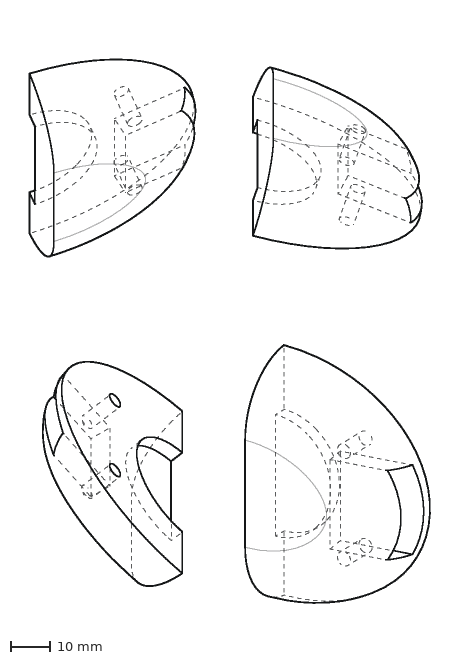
import cadquery as cq
import math

height = 69.8
reach = 44.9
thickness = 18.0
rounding = 20.0

recess_radius = 16.95
recess_depth = 4.0

hole_diameter = 4.0
hole_depth = 10.0
hole_y = 25.0
hole_spacing = 30.0
drill_point_angle = 118.0

slot_width = 6.0
slot_length = 25.0
slot_x = 5.85
slot_y = 41.25
slot_bottom = 20.0
slot_clearance = 10.5
slot_tilt = 8.0


def make_body():
    tangent_depth = rounding - thickness
    inset = rounding - math.sqrt(rounding**2 - tangent_depth**2)
    blank_depth = 2 * tangent_depth
    blank = (
        cq.Workplane("YZ", origin=(-blank_depth, 0, 0))
        .ellipse(reach + inset, height / 2 + inset)
        .extrude(blank_depth + thickness)
        .faces(">X")
        .edges()
        .fillet(rounding)
    )
    kept_half = cq.Workplane("XY").box(thickness, 2 * reach, 2 * height, centered=(False, False, True))
    return blank.intersect(kept_half)


def make_recess():
    return cq.Workplane("YZ").circle(recess_radius).extrude(recess_depth)


def make_hole(z):
    radius = hole_diameter / 2
    point_depth = radius / math.tan(math.radians(drill_point_angle / 2))
    return (
        cq.Workplane("XY", origin=(0, hole_y, z))
        .polyline([(0, 0), (0, radius), (hole_depth, radius), (hole_depth + point_depth, 0)])
        .close()
        .revolve(360, (0, 0, 0), (1, 0, 0))
    )


def make_slot():
    slot_center = (slot_clearance - slot_bottom) / 2
    return (
        cq.Workplane("XY")
        .box(slot_width, slot_bottom + slot_clearance, slot_length)
        .translate((0, slot_center, 0))
        .rotate((0, 0, 0), (0, 0, 1), slot_tilt)
        .translate((slot_x, slot_y, 0))
    )


result = make_body().cut(make_recess()).cut(make_slot())
for side in (-1, 1):
    result = result.cut(make_hole(side * hole_spacing / 2))